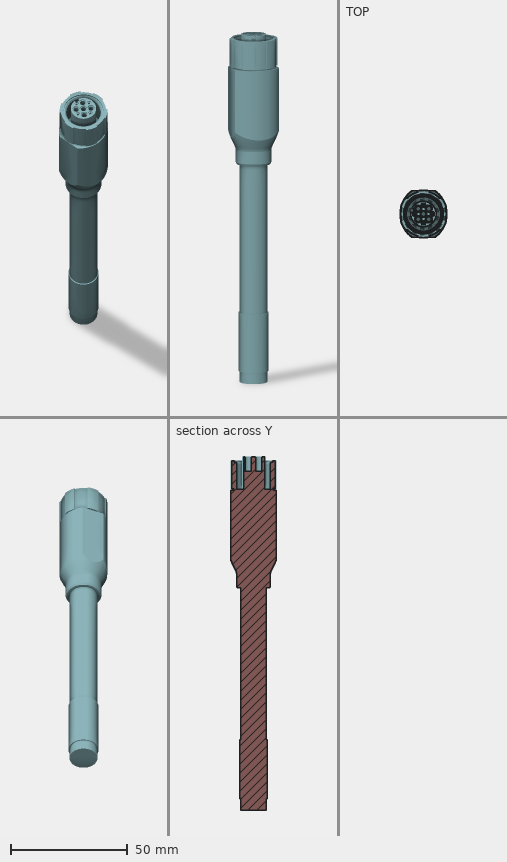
import cadquery as cq
import math

total_height = 151.5

cable_diameter = 12.0
sleeve_diameter = 12.9
sleeve_bottom = 4.8
sleeve_top = 30.3

collar_diameter = 15.5
collar_bottom = 95.2
collar_top = 101.5
collar_chamfer_height = 0.9
collar_chamfer_width = 0.5

body_half_width = 10.0
flat_half_width = 4.8
body_top = 137.2

neck_middle_radius = 7.9
neck_middle_height = 102.3
flare_neck_radius = 8.2
flare_neck_height = 103
flare_middle_radius = 10.0
flare_middle_height = 107.0
flare_top_height = 110.2
flare_top_radius = math.hypot(body_half_width, flat_half_width)

nut_bottom = 137.8
nut_top = 149.9
nut_diameter = 19.4
rib_outer_diameter = 20.5
rib_count = 6
rib_angle = 28.5
gap_core_diameter = 17.9

mouth_diameter = 17.0
mouth_depth = 0.6
seat_diameter = 16.0
bore_diameter = 14.9
seat_cone_depth = 0.6

insert_diameter = 10.9
keyway_width = 1.8
keyway_depth = 1.0
keyway_angle = 163
contact_spacing = 4.5
contact_hole_diameter = 2.3
contact_hole_depth = 6
contact_rim_diameter = 2.9
contact_rim_depth = 0.5
pocket_circle_radius = 3.8
pocket_diameter = 1.8
pocket_depth = 0.5
pocket_hole_diameter = 0.95
pocket_hole_depth = 1.5


def cylinder(diameter, bottom, top):
    return cq.Workplane("XY").workplane(offset=bottom).circle(diameter / 2).extrude(top - bottom)


def make_cable():
    cable = cylinder(cable_diameter, 0, collar_top)
    return cable.union(cylinder(sleeve_diameter, sleeve_bottom, sleeve_top))


def make_collar():
    collar = cylinder(collar_diameter, collar_bottom, body_top)
    return collar.faces("<Z").edges().chamfer(collar_chamfer_height, collar_chamfer_width)


def make_body():
    prism = (
        cq.Workplane("XY")
        .workplane(offset=collar_top)
        .moveTo(-flat_half_width, -body_half_width)
        .lineTo(flat_half_width, -body_half_width)
        .threePointArc((body_half_width, 0), (flat_half_width, body_half_width))
        .lineTo(-flat_half_width, body_half_width)
        .threePointArc((-body_half_width, 0), (-flat_half_width, -body_half_width))
        .close()
        .extrude(body_top - collar_top)
    )
    envelope = (
        cq.Workplane("XZ")
        .moveTo(0, collar_top)
        .lineTo(collar_diameter / 2, collar_top)
        .threePointArc(
            (neck_middle_radius, neck_middle_height),
            (flare_neck_radius, flare_neck_height),
        )
        .threePointArc(
            (flare_middle_radius, flare_middle_height),
            (flare_top_radius, flare_top_height),
        )
        .lineTo(2 * body_half_width, flare_top_height)
        .lineTo(2 * body_half_width, body_top)
        .lineTo(0, body_top)
        .close()
        .revolve(360, (0, 0), (0, 1))
    )
    return prism.intersect(envelope)


def make_rib(middle_angle):
    start = math.radians(middle_angle - rib_angle / 2)
    middle = math.radians(middle_angle)
    end = math.radians(middle_angle + rib_angle / 2)
    radius = rib_outer_diameter / 2
    return (
        cq.Workplane("XY")
        .workplane(offset=nut_bottom)
        .lineTo(radius * math.cos(start), radius * math.sin(start))
        .threePointArc(
            (radius * math.cos(middle), radius * math.sin(middle)),
            (radius * math.cos(end), radius * math.sin(end)),
        )
        .close()
        .extrude(nut_top - nut_bottom)
    )


def make_nut():
    nut = cylinder(nut_diameter, nut_bottom, nut_top)
    for index in range(rib_count):
        nut = nut.union(make_rib(90 + index * 360 / rib_count))
    seat_height = nut_top - mouth_depth
    bore = (
        cq.Workplane("XZ")
        .moveTo(0, nut_bottom)
        .lineTo(bore_diameter / 2, nut_bottom)
        .lineTo(bore_diameter / 2, seat_height - seat_cone_depth)
        .lineTo(seat_diameter / 2, seat_height)
        .lineTo(mouth_diameter / 2, seat_height)
        .lineTo(mouth_diameter / 2, nut_top)
        .lineTo(0, nut_top)
        .close()
        .revolve(360, (0, 0), (0, 1))
    )
    return nut.cut(bore)


def drill(insert, points, diameter, depth):
    holes = (
        cq.Workplane("XY")
        .workplane(offset=total_height - depth)
        .pushPoints(points)
        .circle(diameter / 2)
        .extrude(depth)
    )
    return insert.cut(holes)


def make_insert():
    insert = cylinder(insert_diameter, nut_bottom, total_height)
    keyway = (
        cq.Workplane("XY")
        .workplane(offset=nut_bottom)
        .center(insert_diameter / 2, 0)
        .rect(2 * keyway_depth, keyway_width)
        .extrude(total_height - nut_bottom)
        .rotate((0, 0, 0), (0, 0, 1), keyway_angle)
    )
    insert = insert.cut(keyway)
    half = contact_spacing / 2
    contacts = [(0, 0), (half, half), (-half, half), (-half, -half), (half, -half)]
    insert = drill(insert, contacts, contact_rim_diameter, contact_rim_depth)
    insert = drill(insert, contacts, contact_hole_diameter, contact_hole_depth)
    reach = pocket_circle_radius
    pockets = [(reach, 0), (0, reach), (-reach, 0), (0, -reach)]
    insert = drill(insert, pockets, pocket_diameter, pocket_depth)
    return drill(insert, pockets, pocket_hole_diameter, pocket_hole_depth)


gap_core = cylinder(gap_core_diameter, body_top, nut_bottom)

result = (
    make_cable()
    .union(make_collar())
    .union(make_body())
    .union(gap_core)
    .union(make_nut())
    .union(make_insert())
)